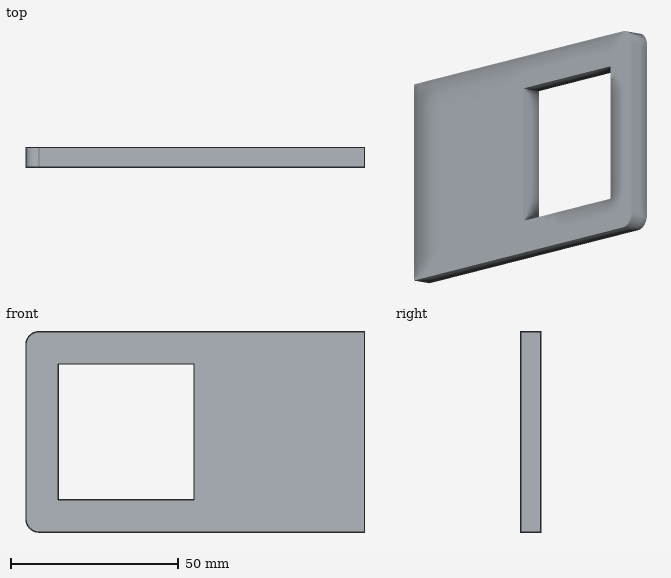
import cadquery as cq

length = 101.25
thickness = 6.0
height = 60.0
corner_radius = 4.0

window_size = 40.5
window_margin = (height - window_size) / 2


def make_plate():
    """Plate with its two left-hand corners rounded."""
    plate = cq.Workplane("XY").box(length, thickness, height, centered=(False, True, True))
    return plate.edges("|Y and <X").fillet(corner_radius)


def make_window():
    """Square cutter that passes through the plate thickness."""
    cutter = cq.Workplane("XY").box(window_size, thickness, window_size, centered=(False, True, True))
    return cutter.translate((window_margin, 0, 0))


result = make_plate().cut(make_window())